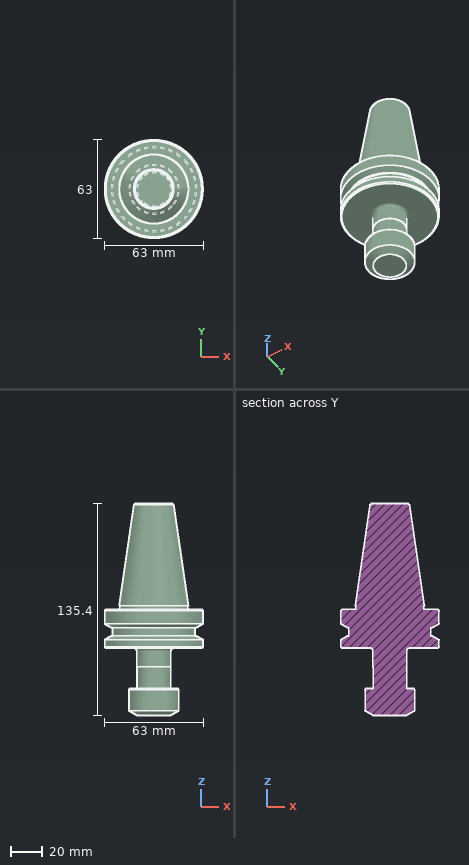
import cadquery as cq

total_height = 135.4
gauge_height = 70.0
flange_top = 68.0
flange_bottom = 43.0
groove_center = 53.5
nut_top = 17.3
nut_cone_height = 3.1

gauge_radius = 22.2
taper_slope = 7 / 24 / 2
taper_tip_chamfer = 1.0
relief_radius = 21.8
relief_fillet = 0.5

flange_radius = 31.48
flange_top_chamfer = 1.0
flange_bottom_chamfer = 0.8
groove_mouth_width = 10.0
groove_floor_width = 5.1
groove_floor_radius = 26.4
groove_flank_radius = 27.2

neck_radius = 10.8
collar_radius = 11.0
collar_bottom = 31.1
neck_fillet = 1.9
nut_radius = 16.0
nut_chamfer = 0.7
nut_face_radius = 10.5


def nut_and_neck():
    """Cone-ended nut and the stepped round neck, revolved as one solid."""
    return (
        cq.Workplane("XZ")
        .moveTo(0, 0)
        .lineTo(nut_face_radius, 0)
        .lineTo(nut_radius, nut_cone_height)
        .lineTo(nut_radius, nut_top - nut_chamfer)
        .lineTo(nut_radius - nut_chamfer, nut_top)
        .lineTo(neck_radius, nut_top)
        .lineTo(neck_radius, collar_bottom)
        .lineTo(collar_radius, collar_bottom)
        .lineTo(collar_radius, flange_bottom - neck_fillet)
        .radiusArc((collar_radius + neck_fillet, flange_bottom), neck_fillet)
        .lineTo(0, flange_bottom)
        .close()
        .revolve(360, (0, 0, 0), (0, 1, 0))
    )


def flange():
    """Disc with chamfered rims and a V groove that has a flat, recessed floor."""
    mouth_bottom = groove_center - groove_mouth_width / 2
    mouth_top = groove_center + groove_mouth_width / 2
    floor_bottom = groove_center - groove_floor_width / 2
    floor_top = groove_center + groove_floor_width / 2
    return (
        cq.Workplane("XZ")
        .moveTo(0, flange_bottom)
        .lineTo(flange_radius - flange_bottom_chamfer, flange_bottom)
        .lineTo(flange_radius, flange_bottom + flange_bottom_chamfer)
        .lineTo(flange_radius, mouth_bottom)
        .lineTo(groove_flank_radius, floor_bottom)
        .lineTo(groove_floor_radius, floor_bottom)
        .lineTo(groove_floor_radius, floor_top)
        .lineTo(groove_flank_radius, floor_top)
        .lineTo(flange_radius, mouth_top)
        .lineTo(flange_radius, flange_top - flange_top_chamfer)
        .lineTo(flange_radius - flange_top_chamfer, flange_top)
        .lineTo(0, flange_top)
        .close()
        .revolve(360, (0, 0, 0), (0, 1, 0))
    )


def taper_shank():
    """Filleted relief below the gauge line, then the taper with a chamfered tip."""
    cone_end_height = total_height - taper_tip_chamfer
    cone_end_radius = gauge_radius - taper_slope * (cone_end_height - gauge_height)
    return (
        cq.Workplane("XZ")
        .moveTo(0, flange_top)
        .lineTo(relief_radius + relief_fillet, flange_top)
        .radiusArc((relief_radius, flange_top + relief_fillet), relief_fillet)
        .lineTo(relief_radius, gauge_height)
        .lineTo(gauge_radius, gauge_height)
        .lineTo(cone_end_radius, cone_end_height)
        .lineTo(cone_end_radius - taper_tip_chamfer, total_height)
        .lineTo(0, total_height)
        .close()
        .revolve(360, (0, 0, 0), (0, 1, 0))
    )


result = nut_and_neck().union(flange()).union(taper_shank())